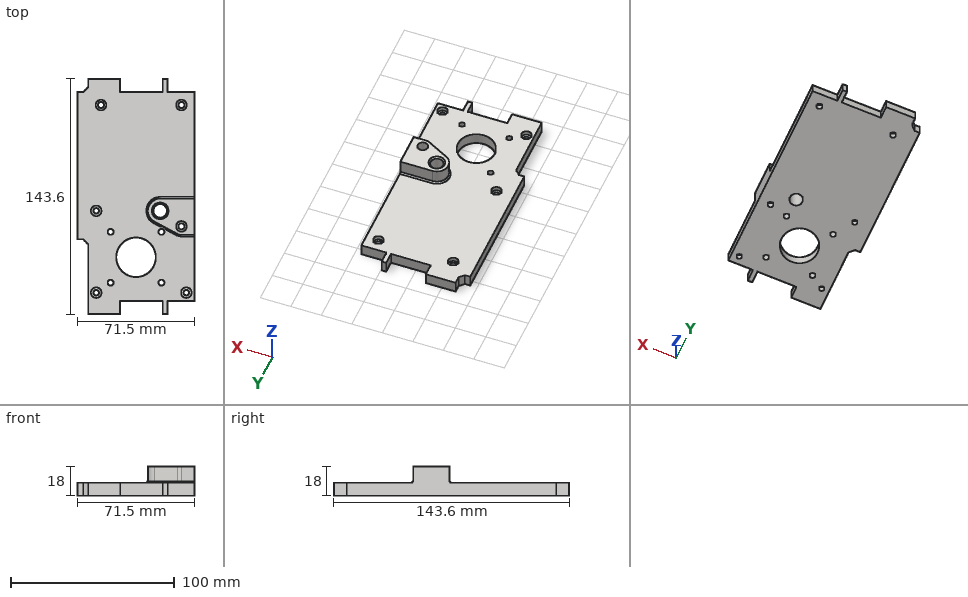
import cadquery as cq
import math


plate_width = 71.5
plate_thickness = 8.0
overall_length = 143.63
tab_length = 8.0
bore_to_front_end = 34.75
wide_tab_width = 19.5
narrow_tab_width = 3.0
tab_gap = 26.0
step_depth = 6.5
step_chamfer = 3.0
left_edge_start = 10.9

right_x = plate_width / 2
left_x = -right_x
stepped_x = left_x + step_depth
wide_tab_x = stepped_x + wide_tab_width
narrow_tab_x = wide_tab_x + tab_gap
narrow_tab_end_x = narrow_tab_x + narrow_tab_width
front_tab_y = -bore_to_front_end
front_y = front_tab_y + tab_length
back_tab_y = front_tab_y + overall_length
back_y = back_tab_y - tab_length

bore_diameter = 24.0
motor_hole_pitch = 31.0
motor_hole_diameter = 3.5
motor_head_diameter = 6.5

boss_height = 10.0
foot_chamfer = 1.0
shaft_center = (14.75, 28.35)
shaft_hole_diameter = 8.2
shaft_hole_chamfer = 1.0
shaft_end_radius = 7.5
boss_screw_center = (27.7, 18.9)
boss_corner_radius = 5.25
boss_top_z = plate_thickness + boss_height

head_diameter = 6.5
head_seat_z = 5.0
large_screw_diameter = 3.6
small_screw_diameter = 3.2
back_screw_y = 92.9
large_plate_screws = [(-21.4, back_screw_y), (boss_screw_center[0], back_screw_y)]
side_screw_x = -24.3
front_screw_y = -21.6
small_plate_screws = [
    (side_screw_x, shaft_center[1]),
    (side_screw_x, front_screw_y),
    (30.7, front_screw_y),
]


def vertical_cylinder(center, diameter, bottom_z, top_z):
    return (
        cq.Workplane("XY", origin=(center[0], center[1], bottom_z))
        .circle(diameter / 2)
        .extrude(top_z - bottom_z)
    )


def make_plate():
    outline = [
        (stepped_x, front_tab_y),
        (wide_tab_x, front_tab_y),
        (wide_tab_x, front_y),
        (narrow_tab_x, front_y),
        (narrow_tab_x, front_tab_y),
        (narrow_tab_end_x, front_tab_y),
        (narrow_tab_end_x, front_y),
        (right_x, front_y),
        (right_x, back_y),
        (narrow_tab_end_x, back_y),
        (narrow_tab_end_x, back_tab_y),
        (narrow_tab_x, back_tab_y),
        (narrow_tab_x, back_y),
        (wide_tab_x, back_y),
        (wide_tab_x, back_tab_y),
        (stepped_x, back_tab_y),
        (stepped_x, back_y + step_chamfer),
        (stepped_x - step_chamfer, back_y),
        (left_x, back_y),
        (left_x, left_edge_start),
        (stepped_x - step_chamfer, left_edge_start),
        (stepped_x, left_edge_start - step_chamfer),
    ]
    return cq.Workplane("XY").polyline(outline).close().extrude(plate_thickness)


def point_on_circle(center, radius, angle):
    return (center[0] + radius * math.cos(angle), center[1] + radius * math.sin(angle))


def boss_layer(bottom_z, height, growth, taper=0):
    """Extrude the boss outline, offset outward by growth, up from bottom_z.

    Two arcs, around the shaft hole and the boss screw, joined by their common
    tangent; the outline runs straight past the right side of the plate.
    """
    end_radius = shaft_end_radius + growth
    corner_radius = boss_corner_radius + growth
    dx = boss_screw_center[0] - shaft_center[0]
    dy = boss_screw_center[1] - shaft_center[1]
    radius_drop = end_radius - corner_radius
    tangent_angle = math.atan2(dy, dx) - math.acos(radius_drop / math.hypot(dx, dy))
    up = math.pi / 2
    down = -math.pi / 2
    end_mid_angle = (up + tangent_angle + 2 * math.pi) / 2
    corner_mid_angle = (tangent_angle + down) / 2
    beyond_right_x = right_x + 2 * foot_chamfer
    return (
        cq.Workplane("XY", origin=(0, 0, bottom_z))
        .moveTo(beyond_right_x, shaft_center[1] + end_radius)
        .lineTo(*point_on_circle(shaft_center, end_radius, up))
        .threePointArc(
            point_on_circle(shaft_center, end_radius, end_mid_angle),
            point_on_circle(shaft_center, end_radius, tangent_angle),
        )
        .lineTo(*point_on_circle(boss_screw_center, corner_radius, tangent_angle))
        .threePointArc(
            point_on_circle(boss_screw_center, corner_radius, corner_mid_angle),
            point_on_circle(boss_screw_center, corner_radius, down),
        )
        .lineTo(beyond_right_x, boss_screw_center[1] - corner_radius)
        .close()
        .extrude(height, taper=taper)
    )


def make_boss():
    foot_taper = 45
    foot = boss_layer(plate_thickness, foot_chamfer, foot_chamfer, foot_taper)
    wall = boss_layer(plate_thickness, boss_height, 0)
    inside_plate = cq.Workplane("XY").box(
        plate_width, overall_length, boss_top_z, centered=(True, True, False)
    )
    return wall.union(foot).intersect(inside_plate)


def cut_screw_hole(body, center, diameter, top_z):
    body = body.cut(vertical_cylinder(center, diameter, 0, top_z))
    return body.cut(vertical_cylinder(center, head_diameter, head_seat_z, top_z))


def cut_motor_mount(body):
    body = body.cut(vertical_cylinder((0, 0), bore_diameter, 0, plate_thickness))
    offset = motor_hole_pitch / 2
    for x in (-offset, offset):
        for y in (-offset, offset):
            body = body.cut(vertical_cylinder((x, y), motor_hole_diameter, 0, plate_thickness))
    head_clearance = vertical_cylinder(
        (offset, offset), motor_head_diameter, plate_thickness, boss_top_z
    )
    return body.cut(head_clearance)


def cut_shaft_hole(body):
    body = body.cut(vertical_cylinder(shaft_center, shaft_hole_diameter, 0, boss_top_z))
    shaft_radius = shaft_hole_diameter / 2
    lead_in = cq.Workplane(
        cq.Solid.makeCone(
            shaft_radius,
            shaft_radius + shaft_hole_chamfer,
            shaft_hole_chamfer,
            pnt=cq.Vector(*shaft_center, boss_top_z - shaft_hole_chamfer),
        )
    )
    return body.cut(lead_in)


body = make_plate().union(make_boss())
body = cut_motor_mount(body)
body = cut_shaft_hole(body)
body = cut_screw_hole(body, boss_screw_center, large_screw_diameter, boss_top_z)
for screw_center in large_plate_screws:
    body = cut_screw_hole(body, screw_center, large_screw_diameter, plate_thickness)
for screw_center in small_plate_screws:
    body = cut_screw_hole(body, screw_center, small_screw_diameter, plate_thickness)
result = body